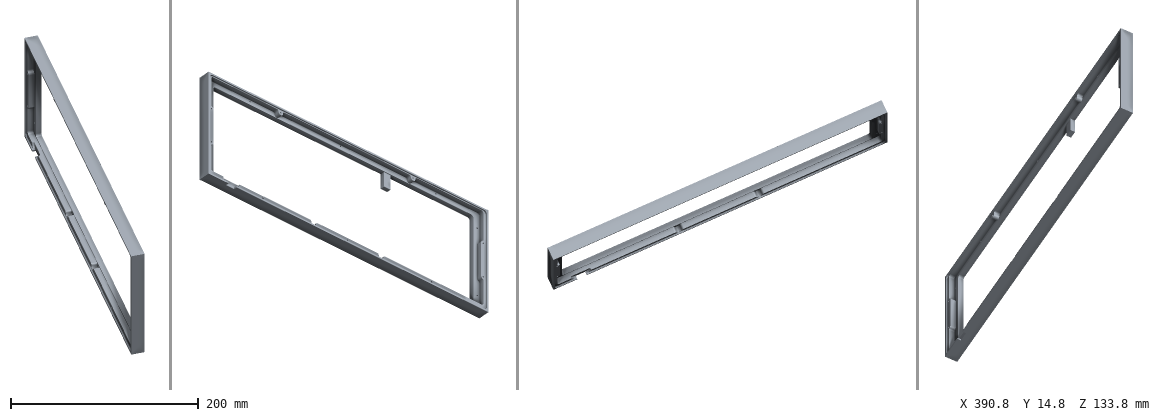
import math

import cadquery as cq

length = 390.8
height = 133.8
thickness = 14.8
front_y = -thickness / 2
back_y = thickness / 2

window_length = 363.0
window_height = 116.4
window_radius = 3.0

rim_width = 2.0
recess_depth = 1.8
recess_radius = 4.0
ledge_y = front_y + recess_depth

pocket_side_margin = 5.3
pocket_top_margin = 2.8
pocket_bottom_margin = 7.4
pocket_depth = 6.6
pocket_radius = 3.0
lip_y = ledge_y + pocket_depth
pocket_right = length / 2 - pocket_side_margin
pocket_top = height / 2 - pocket_top_margin
pocket_bottom = -height / 2 + pocket_bottom_margin

lobe_radius = 3.2
blend_radius = 2.3
lug_root = 0.5
side_lug_screw_offset = 0.2
side_lug_screw_z = 21.8
top_lug_screw_offset = 2.4
bottom_notch_screw_offset = 1.8
top_lug_xs = (-93.0, 91.8)
bottom_notch_x = 47.0

hole_diameter = 1.8
hole_depth = 5.0
top_hole_xs = (-130.5, -4.0, 129.5)
bottom_hole_xs = (-117.7, 0.0, 117.7)
rail_hole_z = 62.4
side_hole_x = 187.0
side_hole_z = 44.2

opening_x = -161.9
opening_width = 23.0
opening_radius = 5.9
opening_depth = 4.1
bowl_headroom = 1.0

tab_x = 62.1
tab_width = 9.0
tab_thickness = 5.4
tab_bottom_z = 39.0


def plane_at(y, x=0.0, z=0.0):
    """Workplane facing the back (+Y), with local x along X and local y along -Z."""
    return cq.Workplane(cq.Plane(origin=(x, y, z), xDir=(1, 0, 0), normal=(0, 1, 0)))


def rounded_block(size_x, size_z, radius, y, depth, z=0.0):
    """Block with rounded corners running from y towards the back."""
    block = plane_at(y, z=z).rect(size_x, size_z).extrude(depth)
    return block.edges("|Y").fillet(radius)


def lug(x, z, inward, screw_spacing, screw_offset):
    """Lug as deep as the pocket, based at (x, z) on a wall and growing along inward."""
    half = screw_spacing / 2
    reach = math.sqrt((lobe_radius + blend_radius) ** 2 - (blend_radius - screw_offset) ** 2)
    foot = half + reach
    apex = screw_offset + lobe_radius
    share = lobe_radius / (lobe_radius + blend_radius)
    joint_s = half + share * reach
    joint_t = screw_offset + share * (blend_radius - screw_offset)
    joint_angle = math.atan2(joint_t - screw_offset, joint_s - half)
    blend_start = joint_angle + math.pi
    blend_end = 1.5 * math.pi
    blend_angle = (blend_start + blend_end) / 2
    blend_s = foot + blend_radius * math.cos(blend_angle)
    blend_t = blend_radius + blend_radius * math.sin(blend_angle)
    lobe_angle = (joint_angle + math.pi / 2) / 2
    lobe_s = half + lobe_radius * math.cos(lobe_angle)
    lobe_t = screw_offset + lobe_radius * math.sin(lobe_angle)

    along = (inward[1], 0, -inward[0])
    plane = cq.Plane(origin=(x, ledge_y, z), xDir=along, normal=(0, 1, 0))
    grow = plane.yDir.dot(cq.Vector(inward[0], 0, inward[1]))

    def at(s, t):
        return (s, grow * t)

    outline = cq.Workplane(plane).moveTo(*at(-foot, -lug_root)).lineTo(*at(-foot, 0))
    outline = outline.threePointArc(at(-blend_s, blend_t), at(-joint_s, joint_t))
    outline = outline.threePointArc(at(-lobe_s, lobe_t), at(-half, apex))
    if half > 0:
        outline = outline.lineTo(*at(half, apex))
    outline = outline.threePointArc(at(lobe_s, lobe_t), at(joint_s, joint_t))
    outline = outline.threePointArc(at(blend_s, blend_t), at(foot, 0))
    return outline.lineTo(*at(foot, -lug_root)).close().extrude(pocket_depth)


def hole(x, z, y):
    """Screw hole cutter at (x, z) going from y towards the back."""
    return plane_at(y, x, z).circle(hole_diameter / 2).extrude(hole_depth)


def frame_body():
    body = cq.Workplane("XY").box(length, thickness, height)
    recess_length = length - 2 * rim_width
    recess_height = height - 2 * rim_width
    pocket_height = pocket_top - pocket_bottom
    pocket_z = (pocket_top + pocket_bottom) / 2
    body = body.cut(rounded_block(window_length, window_height, window_radius, front_y, thickness))
    body = body.cut(rounded_block(recess_length, recess_height, recess_radius, front_y, recess_depth))
    return body.cut(
        rounded_block(2 * pocket_right, pocket_height, pocket_radius, ledge_y, pocket_depth, pocket_z)
    )


def add_side_lugs(body):
    screw_x = pocket_right - side_lug_screw_offset
    for side in (-1, 1):
        body = body.union(
            lug(side * pocket_right, 0, (-side, 0), 2 * side_lug_screw_z, side_lug_screw_offset)
        )
        for screw_z in (-side_lug_screw_z, side_lug_screw_z):
            body = body.cut(hole(side * screw_x, screw_z, ledge_y))
    return body


def add_top_lugs(body):
    for x in top_lug_xs:
        body = body.union(lug(x, pocket_top, (0, -1), 0, top_lug_screw_offset))
        body = body.cut(hole(x, pocket_top - top_lug_screw_offset, ledge_y))
    return body


def cut_bottom_notches(body):
    for x in (-bottom_notch_x, bottom_notch_x):
        body = body.cut(lug(x, pocket_bottom, (0, -1), 0, bottom_notch_screw_offset))
        body = body.cut(hole(x, pocket_bottom - bottom_notch_screw_offset, lip_y))
    return body


def cut_screw_holes(body):
    for x in top_hole_xs:
        body = body.cut(hole(x, rail_hole_z, lip_y))
    for x in bottom_hole_xs:
        body = body.cut(hole(x, -rail_hole_z, ledge_y))
    for x in (-side_hole_x, side_hole_x):
        for z in (-side_hole_z, side_hole_z):
            body = body.cut(hole(x, z, lip_y))
    return body


def cut_cable_opening(body):
    """Round-cornered bowl through the ledge, open below through the rim."""
    recess_floor_z = -height / 2 + rim_width
    bowl_height = pocket_bottom - recess_floor_z + bowl_headroom
    bowl = cq.Workplane("XY").box(
        opening_width, opening_depth, bowl_height, centered=(True, False, False)
    )
    bowl = bowl.edges("|Y and <Z").fillet(opening_radius)
    body = body.cut(bowl.translate((opening_x, front_y, recess_floor_z)))
    slot_width = opening_width - 2 * opening_radius
    slot = cq.Workplane("XY").box(slot_width, opening_depth, rim_width, centered=(True, False, False))
    return body.cut(slot.translate((opening_x, front_y, -height / 2)))


def add_tab(body):
    tab = cq.Workplane("XY").box(
        tab_width, tab_thickness, pocket_top - tab_bottom_z, centered=(True, False, False)
    )
    return body.union(tab.translate((tab_x, back_y - tab_thickness, tab_bottom_z)))


result = frame_body()
result = add_side_lugs(result)
result = add_top_lugs(result)
result = cut_bottom_notches(result)
result = cut_screw_holes(result)
result = cut_cable_opening(result)
result = add_tab(result)